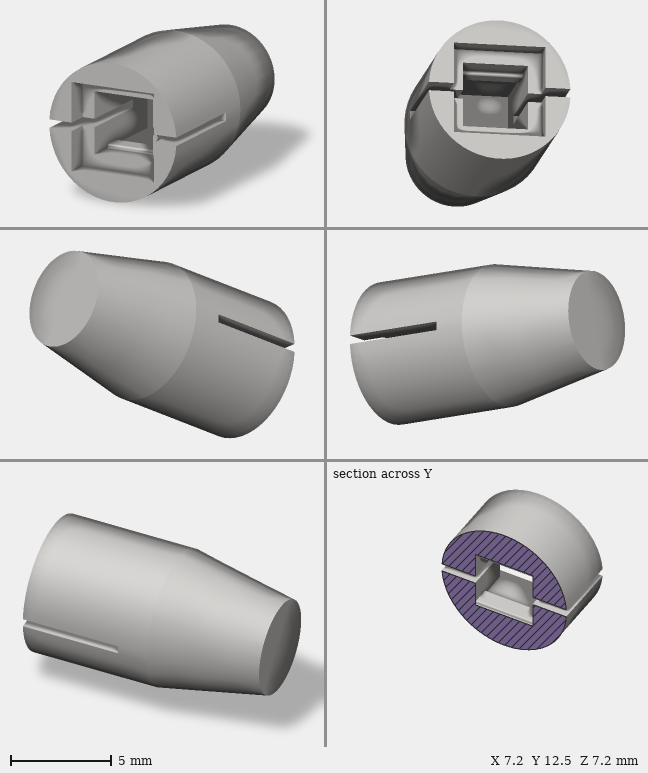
import cadquery as cq
import math

length = 12.5
body_diameter = 7.2
tip_diameter = 5.0
straight_length = 6.8
front_y = -length / 2

mouth_side = 4.65
mouth_depth = 1.16
socket_side = 3.3
socket_depth = straight_length

slot_height = 0.44
slot_depth = 5.25

ridge_setback = 1.32
ridge_blend_radius = 0.1
ridge_flat = 0.8


def make_body():
    """Revolve a cylinder that tapers to a smaller flat tip."""
    body_radius = body_diameter / 2
    outline = (
        cq.Workplane("XY")
        .moveTo(0, front_y)
        .lineTo(body_radius, front_y)
        .lineTo(body_radius, front_y + straight_length)
        .lineTo(tip_diameter / 2, front_y + length)
        .lineTo(0, front_y + length)
        .close()
    )
    return outline.revolve(360, (0, 0, 0), (0, 1, 0))


def front_cut(width, depth, height):
    """Centred rectangular block reaching inward from the open end."""
    block = cq.Workplane("XY").box(width, depth, height)
    return block.translate((0, front_y + depth / 2, 0))


def make_floor_ridge():
    """Ridge across the socket floor, with an S-shaped blend on each flank."""
    r = ridge_blend_radius
    near = r * math.sin(math.pi / 4)
    far = r - near
    start = front_y + mouth_depth + ridge_setback
    end = start + 4 * r + ridge_flat
    floor = -socket_side / 2
    return (
        cq.Workplane("YZ")
        .moveTo(start, floor)
        .threePointArc((start + near, floor + far), (start + r, floor + r))
        .threePointArc((start + r + far, floor + r + near), (start + 2 * r, floor + 2 * r))
        .lineTo(end - 2 * r, floor + 2 * r)
        .threePointArc((end - r - far, floor + r + near), (end - r, floor + r))
        .threePointArc((end - near, floor + far), (end, floor))
        .close()
        .extrude(socket_side / 2, both=True)
    )


mouth = front_cut(mouth_side, mouth_depth, mouth_side)
socket = front_cut(socket_side, socket_depth, socket_side)
slot = front_cut(body_diameter, slot_depth, slot_height)
floor_ridge = make_floor_ridge()
ceiling_ridge = floor_ridge.mirror("XY")

socket = socket.cut(floor_ridge).cut(ceiling_ridge)
result = make_body().cut(mouth).cut(socket).cut(slot)